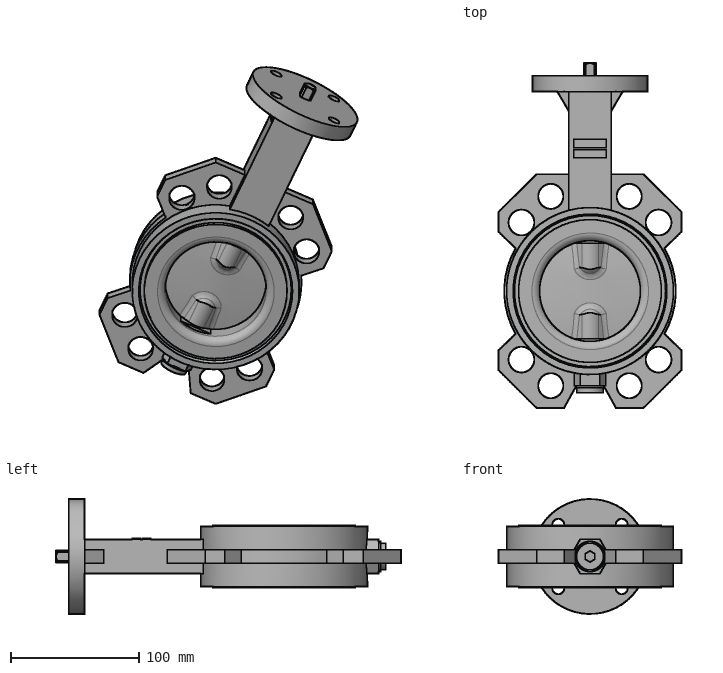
import cadquery as cq
import math


overall_length = 269.5

body_radius = 65.2
body_half_height = 23.5
seat_radius = 55.8
seat_half_height = 24.3
groove_top_radius = 60.0
groove_floor_radius = 59.0
groove_depth = 4.3
bore_radius = 39.3
bore_rounding = 6.2
liner_radius = bore_radius + bore_rounding

disc_rim_half_thickness = 2.7
disc_centre_half_thickness = 5.0

hub_radius = 10.0
hub_flank_angle = 40
hub_tip = 7.0
hub_tip_taper = 45
hub_half_width = 15.0
hub_base_fillet = 6.7
hub_blank_end = 47.2
disc_blank_radius = 51.2
pad_distance = 37.2
pad_half_height = 13.7

plate_thickness = 10.8
web_radius = 67.0
lug_width = 143.0
lug_half_width = lug_width / 2
lug_half_length = 91.4
lug_top_half_width = 41.8
lug_side_outer = 61.7
lug_side_inner = 46.4
lug_foot = (57.7, 33.0)
lower_lug_gap = 20.2
lower_lug_root = (9.2, -71.5)

bolt_patterns = [
    (80.0, 9.7, 67.5),
    (75.7, 10.0, 45),
]

neck_width = 33.5
neck_thickness = 26.7
flange_radius = 45.0
flange_thickness = 12.5
flange_face = 168.2
flange_hole_radius = 4.5
flange_hole_offset = 24.8
gusset_reach = 25.5
gusset_length = 15.0
stem_end = overall_length - lug_half_length
stem_square = 9.5
stem_round_radius = 5.7
stem_chamfer = 1.0

label_width = 25.3
label_length = 6.5
label_height = 0.8
label_centres = [115.3, 107.3]

plug_hex_flats = 26.7
plug_hex_end = 73.8
collar_radius = 11.9
collar_end = 75.5
plug_head_radius = 10.5
plug_head_end = 79.5
socket_flats = 7.5
socket_depth = 4.0

flange_back = flange_face - flange_thickness


def along_y(y):
    """Sketch plane at the given Y, with its normal toward +Y and its sketch X along +X."""
    return cq.Workplane(cq.Plane(origin=(0, y, 0), xDir=(1, 0, 0), normal=(0, 1, 0)))


def both_sides(upper):
    return upper.union(upper.mirror("XY"))


def plate(sketch):
    return sketch.extrude(plate_thickness / 2, both=True)


def make_body():
    floor = seat_half_height - groove_depth
    upper_half = (
        cq.Workplane("XZ")
        .moveTo(bore_radius, 0)
        .lineTo(bore_radius, seat_half_height - bore_rounding)
        .radiusArc((liner_radius, seat_half_height), bore_rounding)
        .lineTo(seat_radius, seat_half_height)
        .lineTo(seat_radius, floor)
        .lineTo(groove_floor_radius, floor)
        .lineTo(groove_top_radius, body_half_height)
        .lineTo(body_radius, body_half_height)
        .lineTo(body_radius, 0)
        .close()
        .revolve(360, (0, 0, 0), (0, 1, 0))
    )
    return both_sides(upper_half)


def make_lug_plate():
    web = plate(cq.Workplane("XY").circle(web_radius))
    upper = [
        (0, lug_half_length),
        (lug_top_half_width, lug_half_length),
        (lug_half_width, lug_side_outer),
        (lug_half_width, lug_side_inner),
        lug_foot,
        (0, 0),
    ]
    lower = [
        lower_lug_root,
        (lower_lug_gap, -lug_half_length),
        (lug_top_half_width, -lug_half_length),
        (lug_half_width, -lug_side_outer),
        (lug_half_width, -lug_side_inner),
        (lug_foot[0], -lug_foot[1]),
        (0, 0),
    ]
    for outline in (upper, lower):
        lug = plate(cq.Workplane("XY").polyline(outline).close())
        web = web.union(lug).union(lug.mirror("YZ"))
    return web


def cut_bolt_holes(part):
    for circle_radius, hole_radius, angle in bolt_patterns:
        x = circle_radius * math.cos(math.radians(angle))
        y = circle_radius * math.sin(math.radians(angle))
        holes = cq.Workplane("XY").rect(2 * x, 2 * y, forConstruction=True).vertices().circle(hole_radius)
        part = part.cut(plate(holes))
    return part


def make_neck():
    neck = along_y(0).rect(neck_width, neck_thickness).extrude(flange_back)
    flange = along_y(flange_back).circle(flange_radius).extrude(flange_thickness)
    hole_spacing = 2 * flange_hole_offset
    holes = (
        along_y(flange_back)
        .rect(hole_spacing, hole_spacing, forConstruction=True)
        .vertices()
        .circle(flange_hole_radius)
        .extrude(flange_thickness)
    )
    gussets = plate(
        cq.Workplane("XY")
        .moveTo(-gusset_reach, flange_back)
        .lineTo(gusset_reach, flange_back)
        .lineTo(neck_width / 2, flange_back - gusset_length)
        .lineTo(-neck_width / 2, flange_back - gusset_length)
        .close()
    )
    labels = (
        cq.Workplane("XY", origin=(0, 0, neck_thickness / 2))
        .pushPoints([(0, y) for y in label_centres])
        .rect(label_width, label_length)
        .extrude(label_height)
    )
    return neck.union(flange.cut(holes)).union(gussets).union(labels)


def make_stem():
    length = stem_end - flange_back
    rod = along_y(flange_back).circle(stem_round_radius).extrude(length).faces(">Y").chamfer(stem_chamfer)
    return rod.intersect(along_y(flange_back).rect(stem_square, stem_square).extrude(length))


def make_plug():
    plug = (
        along_y(-plug_hex_end)
        .transformed(rotate=(0, 0, 90))
        .polygon(6, plug_hex_flats, circumscribed=True)
        .extrude(plug_hex_end - liner_radius)
    )
    collar = along_y(-collar_end).circle(collar_radius).extrude(collar_end - plug_hex_end)
    head = along_y(-plug_head_end).circle(plug_head_radius).extrude(plug_head_end - collar_end)
    socket = along_y(-plug_head_end).polygon(6, socket_flats, circumscribed=True).extrude(socket_depth)
    return plug.union(collar).union(head).cut(socket)


def make_hub():
    """Hub on the +Y, +Z side: a round crest along the stem axis with sloped flanks and a round tip."""
    flank = math.radians(hub_flank_angle)
    foot = hub_radius / math.sin(flank)
    crest_x = hub_radius * math.sin(flank)
    crest_z = hub_radius * math.cos(flank)
    section = (
        cq.Workplane("XZ")
        .moveTo(-foot, 0)
        .lineTo(-crest_x, crest_z)
        .threePointArc((0, hub_radius), (crest_x, crest_z))
        .lineTo(foot, 0)
        .close()
        .extrude(-hub_blank_end)
    )
    tip_centre = hub_tip + hub_half_width
    plan_height = 1.2 * hub_radius
    plan = (
        cq.Workplane("XY")
        .moveTo(-hub_half_width, body_radius)
        .lineTo(-hub_half_width, tip_centre)
        .threePointArc((0, hub_tip), (hub_half_width, tip_centre))
        .lineTo(hub_half_width, body_radius)
        .close()
        .extrude(plan_height, taper=hub_tip_taper)
    )
    return section.intersect(plan)


def make_disc():
    """Domed disc with filleted hubs, made oversize and then trimmed to the bore."""
    dome_height = disc_centre_half_thickness - disc_rim_half_thickness
    dome_radius = (bore_radius**2 + dome_height**2) / (2 * dome_height)
    sphere = cq.Workplane("XZ", origin=(0, 0, disc_centre_half_thickness - dome_radius)).sphere(dome_radius)
    dome = cq.Workplane("XY").circle(disc_blank_radius).extrude(hub_radius).intersect(sphere)
    hub = make_hub()
    blank = dome.union(hub).union(hub.mirror("XZ"))
    beside_hubs = cq.NearestToPointSelector((bore_radius / 2, 0, disc_centre_half_thickness))
    feet = [edge for wire in blank.faces(beside_hubs).val().innerWires() for edge in wire.Edges()]
    feet_in_bore = [edge for edge in feet if abs(edge.Center().y) < bore_radius]
    blank = blank.newObject(feet_in_bore).fillet(hub_base_fillet)
    return both_sides(blank.intersect(cq.Workplane("XY").circle(bore_radius).extrude(hub_radius)))


def make_pad():
    """Liner segment that leaves a flat face square to the stem."""
    block = cq.Workplane("XY").box(2 * bore_radius, bore_radius, 2 * pad_half_height)
    block = block.translate((0, pad_distance + bore_radius / 2, 0))
    liner = cq.Workplane("XY").circle(liner_radius).extrude(pad_half_height, both=True)
    return block.intersect(liner)


def make_shell():
    liner_space = cq.Workplane("XY").circle(liner_radius).extrude(body_half_height, both=True)
    shell = cut_bolt_holes(make_lug_plate()).union(make_neck()).union(make_plug()).cut(liner_space)
    return shell.union(make_body()).union(make_stem())


pad = make_pad()
result = make_shell().union(make_disc()).union(pad).union(pad.mirror("XZ"))